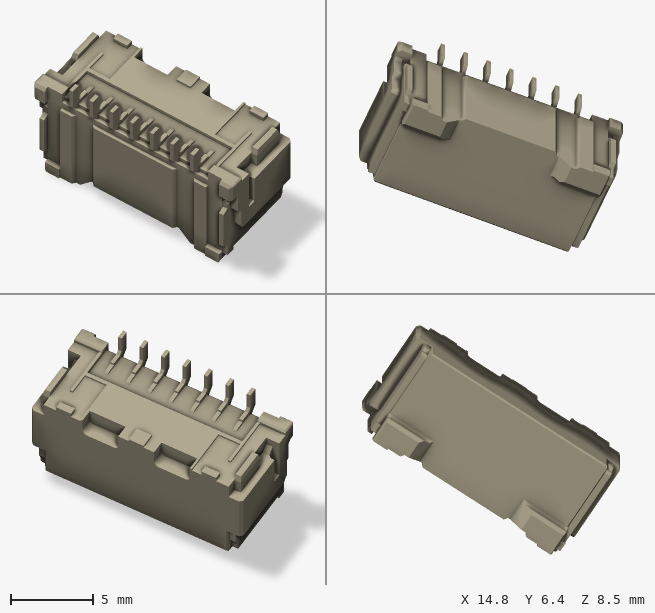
import cadquery as cq
import math


HALF_WIDTH = 7.4
BACK_Y = 6.4
PIN_TOP_Z = 8.5

WING_INNER_X = 6.93
PLATE_X = 6.87
CORE_X = 6.48
BAY_X = 5.43
DECK_X = 3.9

PAD_FRONT_Y = 0.05
PANEL_FRONT_Y = 0.15
WALL_FRONT_Y = 0.37
PLATE_FRONT_Y = 0.41

CORE_BOTTOM_Z = 0.8
WING_BOTTOM_Z = 2.75
LEDGE_Z = 6.01
RAIL_Z = 6.51
BAY_FLOOR_Z = 6.81
ROOF_Z = 6.95
DECK_Z = 7.09
STOP_TOP_Z = 7.25
PLATE_TOP_Z = 5.35

PIN_COUNT = 7
PIN_ROW_LENGTH = 9.0
PIN_PITCH = PIN_ROW_LENGTH / (PIN_COUNT - 1)
PIN_WIDTH = 0.25

BAY_BACK_Y = 2.95
RAIL_BACK_Y = 0.64

STOP_BACK_Y = 1.15
WING_STEP_Y = 1.88
STOP_BACK_CHAMFER_Y = 0.13
STOP_BACK_CHAMFER_Z = 0.09
STOP_FRONT_CHAMFER_Y = 0.18
STOP_FRONT_CHAMFER_Z = 0.2
STOP_SIDE_CHAMFER = 0.09


def box(x, y, z):
    """Block between the (low, high) limits on each axis."""
    size = [high - low for low, high in (x, y, z)]
    return cq.Workplane("XY").box(*size, centered=False).translate((x[0], y[0], z[0]))


def side_prism(outline, x):
    """(Y, Z) outline extruded between two X positions."""
    return cq.Workplane("YZ", origin=(x[0], 0, 0)).polyline(outline).close().extrude(x[1] - x[0])


def plan_prism(outline, z):
    """(X, Y) outline extruded between two Z positions."""
    return cq.Workplane("XY", origin=(0, 0, z[0])).polyline(outline).close().extrude(z[1] - z[0])


def front_prism(outline, y):
    """(X, Z) outline extruded between two Y positions."""
    return cq.Workplane("XZ", origin=(0, y[0], 0)).polyline(outline).close().extrude(y[0] - y[1])


def both_sides(half):
    """Join a +X feature with its mirror image at -X."""
    return half.union(half.mirror("YZ"))


def core():
    """Central block, with the raised deck and the recessed pin bay in its roof."""
    crossbar_back_y = 3.2
    body = box((-CORE_X, CORE_X), (WALL_FRONT_Y, BACK_Y), (CORE_BOTTOM_Z, ROOF_Z))
    deck = box((-DECK_X, DECK_X), (BAY_BACK_Y, BACK_Y), (ROOF_Z, DECK_Z))
    crossbar = box((-BAY_X, BAY_X), (BAY_BACK_Y, crossbar_back_y), (ROOF_Z, DECK_Z))
    bay = box((-BAY_X, BAY_X), (WALL_FRONT_Y, BAY_BACK_Y), (BAY_FLOOR_Z, STOP_TOP_Z))
    rail = box((-BAY_X, BAY_X), (WALL_FRONT_Y, RAIL_BACK_Y), (RAIL_Z, STOP_TOP_Z))
    return body.union(deck).union(crossbar).cut(bay).cut(rail)


def core_edge_cuts():
    """Bevels on the lower back corners and along the bottom edges of the core."""
    corner = 0.19
    bottom_back = 0.1
    side_bevel_x, side_bevel_z = 0.07, 0.38
    corner_outline = [(CORE_X - corner, BACK_Y), (CORE_X, BACK_Y - corner), (CORE_X, BACK_Y)]
    side_outline = [
        (CORE_X - side_bevel_x, CORE_BOTTOM_Z),
        (CORE_X, CORE_BOTTOM_Z),
        (CORE_X, CORE_BOTTOM_Z + side_bevel_z),
    ]
    back_outline = [
        (BACK_Y - bottom_back, CORE_BOTTOM_Z),
        (BACK_Y, CORE_BOTTOM_Z),
        (BACK_Y, CORE_BOTTOM_Z + bottom_back),
    ]
    corners = plan_prism(corner_outline, (CORE_BOTTOM_Z, WING_BOTTOM_Z))
    sides = front_prism(side_outline, (WING_STEP_Y, BACK_Y))
    back = side_prism(back_outline, (-CORE_X, CORE_X))
    return both_sides(corners.union(sides)).union(back)


def roof_ribs():
    """Thin ribs beside the pin bay and small stops along the back of the roof."""
    rib_width = 0.19
    rib_back_y = 4.68
    stop_x = (4.56, 5.6)
    stop_front_y = 5.9
    centre_stop_half_width = 0.52
    centre_stop_front_y = 5.4
    rib = box((BAY_X, BAY_X + rib_width), (STOP_BACK_Y, rib_back_y), (ROOF_Z, DECK_Z))
    stop = box(stop_x, (stop_front_y, BACK_Y), (ROOF_Z, STOP_TOP_Z))
    centre_stop = box(
        (-centre_stop_half_width, centre_stop_half_width),
        (centre_stop_front_y, BACK_Y),
        (DECK_Z, STOP_TOP_Z),
    )
    return both_sides(rib.union(stop)).union(centre_stop)


def back_notches():
    """Two notches in the back edge of the roof, with rounded corners and floors falling to the back."""
    inner_x, outer_x = 1.26, 3.76
    front_y = 5.5
    floor_z = 6.0
    floor_slope = 7.5
    corner_radius = 0.31
    length = BACK_Y - front_y
    floor_drop = length * math.tan(math.radians(floor_slope))
    outline = [
        (front_y, floor_z),
        (BACK_Y, floor_z - floor_drop),
        (BACK_Y, STOP_TOP_Z),
        (front_y, STOP_TOP_Z),
    ]
    notch = side_prism(outline, (inner_x, outer_x))
    return both_sides(notch.faces("<Z").edges("<X or >X").fillet(corner_radius))


def legs():
    """Feet below the front wall, sloped toward the middle and chamfered at the ends."""
    back_y = 1.7
    slope_height = 0.18
    back_chamfer_y, back_chamfer_z = 0.22, 0.24
    inner_bottom_x, inner_top_x = 4.08, 3.27
    end_chamfer_x = 0.07
    profile = [
        (WALL_FRONT_Y, 0),
        (back_y - back_chamfer_y, 0),
        (back_y, back_chamfer_z),
        (back_y, CORE_BOTTOM_Z - slope_height),
        (back_y + slope_height, CORE_BOTTOM_Z),
        (WALL_FRONT_Y, CORE_BOTTOM_Z),
    ]
    face = [
        (inner_bottom_x, 0),
        (CORE_X - end_chamfer_x, 0),
        (CORE_X, back_chamfer_z),
        (CORE_X, CORE_BOTTOM_Z),
        (inner_top_x, CORE_BOTTOM_Z),
    ]
    foot = side_prism(profile, (0, CORE_X))
    pad = box((BAY_X, CORE_X), (PAD_FRONT_Y, WALL_FRONT_Y), (0, CORE_BOTTOM_Z))
    return both_sides(foot.union(pad).intersect(front_prism(face, (0, BACK_Y))))


def front_panels():
    """Raised panels on the front wall; their free upright edges are bevelled."""
    bevel = 0.18
    centre_half_width = 3.12
    side_inner_x = 4.38
    centre = [
        (-centre_half_width, WALL_FRONT_Y),
        (-centre_half_width + bevel, PANEL_FRONT_Y),
        (centre_half_width - bevel, PANEL_FRONT_Y),
        (centre_half_width, WALL_FRONT_Y),
    ]
    side = [
        (side_inner_x, WALL_FRONT_Y),
        (side_inner_x + bevel, PANEL_FRONT_Y),
        (BAY_X, PANEL_FRONT_Y),
        (BAY_X, WALL_FRONT_Y),
    ]
    side_panels = both_sides(plan_prism(side, (0, LEDGE_Z)))
    return side_panels.union(plan_prism(centre, (CORE_BOTTOM_Z, LEDGE_Z)))


def corner_stops():
    """Raised blocks on the roof at both ends of the pin bay."""
    profile = [
        (WALL_FRONT_Y, RAIL_Z),
        (WALL_FRONT_Y, STOP_TOP_Z),
        (STOP_BACK_Y - STOP_BACK_CHAMFER_Y, STOP_TOP_Z),
        (STOP_BACK_Y, STOP_TOP_Z - STOP_BACK_CHAMFER_Z),
        (STOP_BACK_Y, RAIL_Z),
    ]
    return both_sides(side_prism(profile, (BAY_X, CORE_X)))


def wings():
    """Side walls stepping out to the full width, with a slot cut down behind the corner stop."""
    lower_front_y, middle_front_y, upper_front_y, top_front_y = 1.25, 1.08, 0.75, 0.56
    lower_bevel_z = (2.83, 3.05)
    middle_bevel_z = (4.3, 4.57)
    upper_bevel_z = 5.8
    ramp_back_y, ramp_top_z = 2.28, 6.4
    profile = [
        (BACK_Y, WING_BOTTOM_Z),
        (lower_front_y, WING_BOTTOM_Z),
        (lower_front_y, lower_bevel_z[0]),
        (middle_front_y, lower_bevel_z[1]),
        (middle_front_y, middle_bevel_z[0]),
        (upper_front_y, middle_bevel_z[1]),
        (upper_front_y, upper_bevel_z),
        (top_front_y, LEDGE_Z),
        (PAD_FRONT_Y, LEDGE_Z),
        (PAD_FRONT_Y, STOP_TOP_Z - STOP_FRONT_CHAMFER_Z),
        (PAD_FRONT_Y + STOP_FRONT_CHAMFER_Y, STOP_TOP_Z),
        (STOP_BACK_Y - STOP_BACK_CHAMFER_Y, STOP_TOP_Z),
        (STOP_BACK_Y, STOP_TOP_Z - STOP_BACK_CHAMFER_Z),
        (STOP_BACK_Y, ROOF_Z),
        (WING_STEP_Y, ROOF_Z),
        (WING_STEP_Y, ramp_top_z),
        (ramp_back_y, LEDGE_Z),
        (BACK_Y, LEDGE_Z),
    ]
    corner_chamfer = 0.19
    plan = [
        (CORE_X, PAD_FRONT_Y),
        (HALF_WIDTH - corner_chamfer, PAD_FRONT_Y),
        (HALF_WIDTH, PAD_FRONT_Y + corner_chamfer),
        (HALF_WIDTH, BACK_Y - corner_chamfer),
        (HALF_WIDTH - corner_chamfer, BACK_Y),
        (CORE_X, BACK_Y),
    ]
    face = [
        (CORE_X, WING_BOTTOM_Z),
        (HALF_WIDTH, WING_BOTTOM_Z),
        (HALF_WIDTH, STOP_TOP_Z - STOP_SIDE_CHAMFER),
        (HALF_WIDTH - STOP_SIDE_CHAMFER, STOP_TOP_Z),
        (CORE_X, STOP_TOP_Z),
    ]
    slot_bottom_z, slot_back_y = 4.01, 2.45
    slot_straight_x = 7.13
    clearance_back_y = 0.83
    slot = [
        (WING_INNER_X, WING_STEP_Y),
        (HALF_WIDTH, WING_STEP_Y),
        (HALF_WIDTH, slot_back_y),
        (slot_straight_x, slot_back_y),
        (WING_INNER_X, ramp_back_y),
    ]
    wing = side_prism(profile, (CORE_X, HALF_WIDTH))
    wing = wing.intersect(plan_prism(plan, (0, PIN_TOP_Z)))
    wing = wing.intersect(front_prism(face, (0, BACK_Y)))
    wing = wing.cut(plan_prism(slot, (slot_bottom_z, STOP_TOP_Z)))
    clearance = box((CORE_X, WING_INNER_X), (PAD_FRONT_Y, clearance_back_y), (PLATE_TOP_Z, LEDGE_Z))
    return both_sides(wing.cut(clearance))


def side_plates():
    """Plates on the sides of the core below the wings, rising as a tab along the front wall."""
    tab_back_y = 1.33
    foot_back_y = 0.99
    foot_z, bottom_z = 0.62, 0.92
    bottom_back_y, heel_back_y, back_y = 5.92, 6.08, 6.28
    heel_z = (1.2, 1.5)
    back_bottom_z = 1.91
    tab_chamfer_x, tab_chamfer_z = 0.12, 0.18
    profile = [
        (PLATE_FRONT_Y, foot_z),
        (foot_back_y, foot_z),
        (foot_back_y, bottom_z),
        (bottom_back_y, bottom_z),
        (heel_back_y, heel_z[0]),
        (heel_back_y, heel_z[1]),
        (back_y, back_bottom_z),
        (back_y, WING_BOTTOM_Z),
        (tab_back_y, WING_BOTTOM_Z),
        (tab_back_y, PLATE_TOP_Z),
        (PLATE_FRONT_Y, PLATE_TOP_Z),
    ]
    face = [
        (CORE_X, foot_z),
        (PLATE_X, foot_z),
        (PLATE_X, PLATE_TOP_Z - tab_chamfer_z),
        (PLATE_X - tab_chamfer_x, PLATE_TOP_Z),
        (CORE_X + tab_chamfer_x, PLATE_TOP_Z),
        (CORE_X, PLATE_TOP_Z - tab_chamfer_z),
    ]
    plate = side_prism(profile, (CORE_X, PLATE_X))
    return both_sides(plate.intersect(front_prism(face, (0, BACK_Y))))


def contact_pads():
    """Raised pads on the front of the side plates, tapered at both ends."""
    inset = 0.03
    base_z = (1.55, 4.77)
    face_z = (1.73, 4.55)
    profile = [
        (PLATE_FRONT_Y, base_z[0]),
        (0, face_z[0]),
        (0, face_z[1]),
        (PLATE_FRONT_Y, base_z[1]),
    ]
    return both_sides(side_prism(profile, (CORE_X + inset, PLATE_X - inset)))


def shield_tabs():
    """Upright plates standing on the wing ledges beside the core."""
    front_y, back_y = 3.39, 5.71
    taper_z, top_z = 6.91, 7.31
    taper_y, taper_x = 0.15, 0.06
    profile = [
        (front_y, LEDGE_Z),
        (front_y, taper_z),
        (front_y + taper_y, top_z),
        (back_y - taper_y, top_z),
        (back_y, taper_z),
        (back_y, LEDGE_Z),
    ]
    face = [
        (CORE_X, LEDGE_Z),
        (WING_INNER_X, LEDGE_Z),
        (WING_INNER_X, taper_z),
        (WING_INNER_X - taper_x, top_z),
        (CORE_X, top_z),
    ]
    plate = side_prism(profile, (CORE_X, HALF_WIDTH))
    return both_sides(plate.intersect(front_prism(face, (0, BACK_Y))))


def pins():
    """Row of bent pins: a low tail, a stepped bar along the bay floor and an upright blade."""
    blade_back_y, blade_foot_y = 0.6, 0.52
    heel_z = 7.03
    bar_z, tail_z = 7.12, 6.95
    step_y, tail_y, tail_end_y = 1.54, 1.92, 2.32
    gusset = 0.2
    drop = tail_z - BAY_FLOOR_Z
    run = tail_end_y - tail_y
    radius = (run**2 + drop**2) / (2 * drop)
    half_angle = math.atan2(run, radius - drop) / 2
    middle = (
        tail_y + radius * math.sin(half_angle),
        tail_z - radius * (1 - math.cos(half_angle)),
    )
    pin = (
        cq.Workplane("YZ", origin=(-PIN_WIDTH / 2, 0, 0))
        .moveTo(0, heel_z)
        .lineTo(0, PIN_TOP_Z)
        .lineTo(blade_back_y, PIN_TOP_Z)
        .lineTo(blade_back_y, bar_z + gusset)
        .lineTo(blade_back_y + gusset, bar_z)
        .lineTo(step_y, bar_z)
        .lineTo(step_y, tail_z)
        .lineTo(tail_y, tail_z)
        .threePointArc(middle, (tail_end_y, BAY_FLOOR_Z))
        .lineTo(tail_end_y, RAIL_Z)
        .lineTo(blade_foot_y, RAIL_Z)
        .close()
        .extrude(PIN_WIDTH)
    )
    row = cq.Workplane("XY")
    for index in range(PIN_COUNT):
        row = row.add(pin.translate((index * PIN_PITCH - PIN_ROW_LENGTH / 2, 0, 0)))
    return row.combine()


result = core().cut(core_edge_cuts()).cut(back_notches()).union(roof_ribs())
result = result.union(legs()).union(front_panels()).union(corner_stops()).union(wings())
result = result.union(side_plates()).union(contact_pads()).union(shield_tabs()).union(pins())